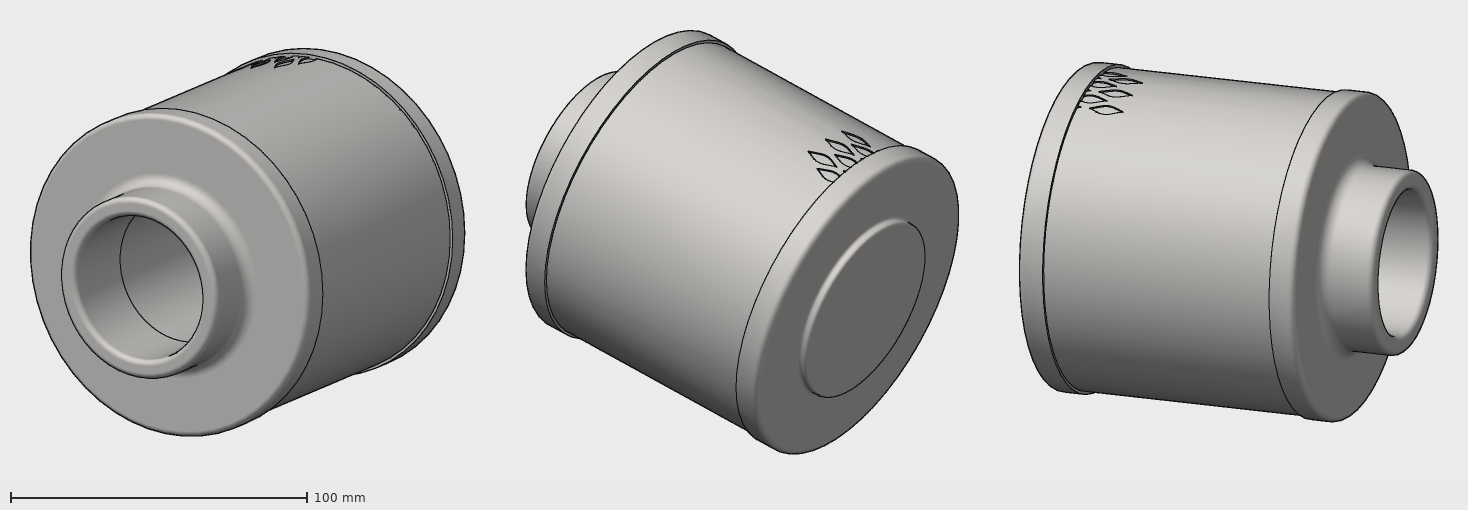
import cadquery as cq


total_length = 122.0
cap_diameter = 112.0
cap_thickness = 9.0
cap_edge_radius = 2.0
cap_overhang = 1.0

spigot_length = 19.0
spigot_diameter = 63.0
spigot_rim_radius = 2.0
spigot_root_radius = 4.0
bore_diameter = 50.0

boss_height = 3.0
boss_diameter = 65.9
boss_edge_radius = 1.0

sleeve_thickness = 0.5

diamond_length = 12.2
diamond_sharp_width = 5.6
diamond_corner_radius = 5.5
diamonds_per_row = 3
diamond_angle_pitch = 10.0
diamond_row_pitch = 7.6
first_row_y = 38.5
row_start_angles = [5.0, 0.0, 5.0]

cap_radius = cap_diameter / 2
spigot_radius = spigot_diameter / 2
bore_radius = bore_diameter / 2
boss_radius = boss_diameter / 2
sleeve_radius = cap_radius - cap_overhang
element_radius = sleeve_radius - sleeve_thickness

inlet_end = -total_length / 2
closed_end = total_length / 2
front_face = inlet_end + spigot_length
rear_face = closed_end - boss_height
front_joint = front_face + cap_thickness
rear_joint = rear_face - cap_thickness


def turned(half_profile):
    """Revolve a half profile, drawn as (radius, y), about the Y axis."""
    return half_profile.close().revolve(360, (0, 0, 0), (0, 1, 0))


def tube(outer_radius, inner_radius):
    """Tube on the Y axis filling the length between the two caps."""
    return (
        cq.Workplane("XZ", origin=(0, rear_joint, 0))
        .circle(outer_radius)
        .circle(inner_radius)
        .extrude(rear_joint - front_joint)
    )


def make_front_cap():
    """Disc with the inlet spigot, bored right through."""
    rim = spigot_rim_radius
    root = spigot_root_radius
    edge = cap_edge_radius
    return turned(
        cq.Workplane("XY")
        .moveTo(bore_radius, front_joint)
        .lineTo(bore_radius, inlet_end + rim)
        .radiusArc((bore_radius + rim, inlet_end), -rim)
        .lineTo(spigot_radius - rim, inlet_end)
        .radiusArc((spigot_radius, inlet_end + rim), -rim)
        .lineTo(spigot_radius, front_face - root)
        .radiusArc((spigot_radius + root, front_face), root)
        .lineTo(cap_radius - edge, front_face)
        .radiusArc((cap_radius, front_face + edge), -edge)
        .lineTo(cap_radius, front_joint)
    )


def make_rear_cap():
    """Closed disc with a low round boss."""
    boss_edge = boss_edge_radius
    edge = cap_edge_radius
    return turned(
        cq.Workplane("XY")
        .moveTo(0, rear_joint)
        .lineTo(cap_radius, rear_joint)
        .lineTo(cap_radius, rear_face - edge)
        .radiusArc((cap_radius - edge, rear_face), -edge)
        .lineTo(boss_radius + boss_edge, rear_face)
        .radiusArc((boss_radius, rear_face + boss_edge), boss_edge)
        .lineTo(boss_radius, closed_end - boss_edge)
        .radiusArc((boss_radius - boss_edge, closed_end), -boss_edge)
        .lineTo(0, closed_end)
    )


def diamond_cutter(y, angle):
    """Radial diamond prism centred at a given Y and angle from +Z toward -X."""
    half_length = diamond_length / 2
    half_width = diamond_sharp_width / 2
    prism = (
        cq.Workplane("XY")
        .polyline([(0, -half_length), (half_width, 0), (0, half_length), (-half_width, 0)])
        .close()
        .extrude(cap_radius)
        .edges("|Z and (<X or >X)")
        .fillet(diamond_corner_radius)
    )
    return prism.translate((0, y, 0)).rotate((0, 0, 0), (0, 1, 0), -angle)


def make_sleeve():
    """Thin tube with staggered rows of diamond holes, the last row cut short by the rear cap."""
    sleeve = tube(sleeve_radius, element_radius)
    for row, start_angle in enumerate(row_start_angles):
        row_y = first_row_y + row * diamond_row_pitch
        for column in range(diamonds_per_row):
            sleeve = sleeve.cut(diamond_cutter(row_y, start_angle + column * diamond_angle_pitch))
    return sleeve.solids()


front_cap = make_front_cap()
rear_cap = make_rear_cap()
sleeve = make_sleeve()
filter_element = tube(element_radius, bore_radius)

result = cq.Compound.makeCompound([
    front_cap.val(),
    rear_cap.val(),
    sleeve.val(),
    filter_element.val(),
])